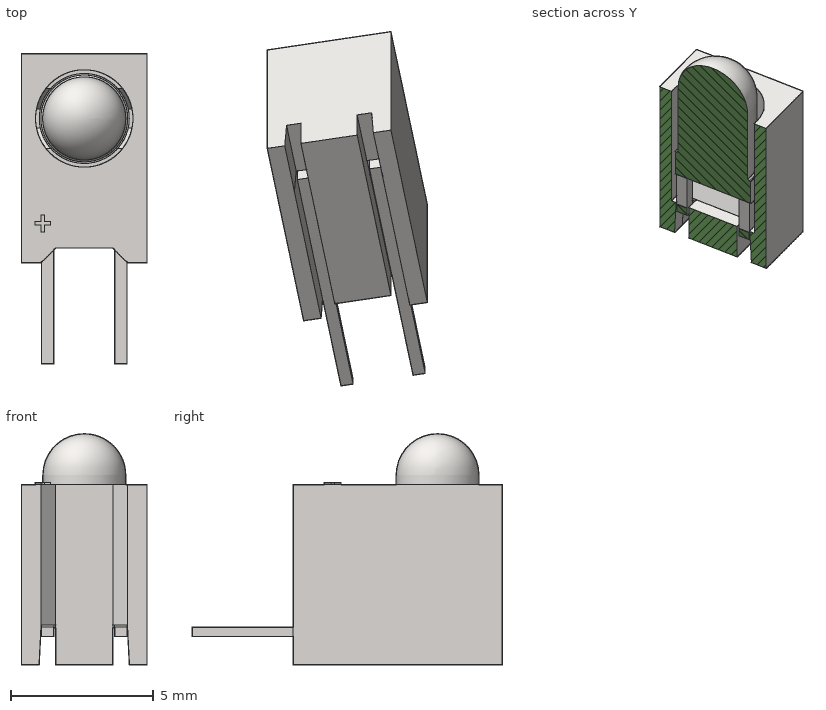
import cadquery as cq
import math


HOUSING_WIDTH = 4.42
HOUSING_LENGTH = 7.36
HOUSING_HEIGHT = 6.34
REAR_Y = 2.28
FRONT_Y = REAR_Y - HOUSING_LENGTH

RECESS_DEPTH = 0.51
CORE_HALF_WIDTH = 1.0
RECESS_HALF_WIDTH = CORE_HALF_WIDTH + RECESS_DEPTH

BORE_RADIUS = 1.71
TROUGH_TOP_HALF = 1.06
TROUGH_BOTTOM_HALF = 0.33
TROUGH_ANGLE = 60.0

SLOT_INNER_X = CORE_HALF_WIDTH
SLOT_OUTER_X = RECESS_HALF_WIDTH
SLOT_FLARE = 0.07
SLOT_ROOF_Z = 1.4
REAR_SLOT_DROP = 0.1

TROUGH_DEPTH = (TROUGH_TOP_HALF - TROUGH_BOTTOM_HALF) * math.tan(math.radians(TROUGH_ANGLE))
BORE_FLOOR_Z = SLOT_ROOF_Z + TROUGH_DEPTH

CROSS_X = -1.46
CROSS_Y = -3.69
CROSS_LENGTH_X = 0.54
CROSS_LENGTH_Y = 0.6
CROSS_BAR = 0.13
CROSS_HEIGHT = 0.07

TOTAL_HEIGHT = 8.14
DOME_RADIUS = 1.46
DOME_BASE_Z = TOTAL_HEIGHT - DOME_RADIUS
BODY_COLLAR = 0.07
FLANGE_RADIUS = 1.58
FLANGE_HEIGHT = 1.0

LEAD_CENTRE_X = 1.29
LEAD_WIDTH = 0.44
LEAD_THICKNESS = 0.34
LEAD_TOP_Z = 1.33
TOTAL_LENGTH = 10.92
LEAD_END_Y = REAR_Y - TOTAL_LENGTH

SIDES = (-1, 1)


def make_block():
    """Box with the flanked recess cut into its front outline."""
    half_width = HOUSING_WIDTH / 2
    recess_y = FRONT_Y + RECESS_DEPTH
    outline = [
        (-half_width, REAR_Y),
        (-half_width, FRONT_Y),
        (-RECESS_HALF_WIDTH, FRONT_Y),
        (-CORE_HALF_WIDTH, recess_y),
        (CORE_HALF_WIDTH, recess_y),
        (RECESS_HALF_WIDTH, FRONT_Y),
        (half_width, FRONT_Y),
        (half_width, REAR_Y),
    ]
    return cq.Workplane("XY").polyline(outline).close().extrude(HOUSING_HEIGHT)


def make_bore():
    depth = HOUSING_HEIGHT - BORE_FLOOR_Z
    return cq.Workplane("XY").workplane(offset=BORE_FLOOR_Z).circle(BORE_RADIUS).extrude(depth)


def make_trough():
    """Sloped trough across the bore, kept within the bore circle."""
    profile = [
        (-TROUGH_TOP_HALF, BORE_FLOOR_Z),
        (-TROUGH_BOTTOM_HALF, SLOT_ROOF_Z),
        (TROUGH_BOTTOM_HALF, SLOT_ROOF_Z),
        (TROUGH_TOP_HALF, BORE_FLOOR_Z),
    ]
    prism = cq.Workplane("YZ").polyline(profile).close().extrude(BORE_RADIUS, both=True)
    return prism.intersect(cq.Workplane("XY").circle(BORE_RADIUS).extrude(BORE_FLOOR_Z))


def make_slot(side, front_y, rear_y, roof_z):
    """One flared lead slot between two Y positions."""
    profile = [
        (side * SLOT_INNER_X, 0),
        (side * SLOT_INNER_X, roof_z),
        (side * SLOT_OUTER_X, roof_z),
        (side * (SLOT_OUTER_X + SLOT_FLARE), 0),
    ]
    slot = cq.Workplane("XZ").polyline(profile).close().extrude(rear_y - front_y)
    return slot.translate((0, rear_y, 0))


def make_cross():
    across = cq.Workplane("XY").rect(CROSS_LENGTH_X, CROSS_BAR).extrude(CROSS_HEIGHT)
    along = cq.Workplane("XY").rect(CROSS_BAR, CROSS_LENGTH_Y).extrude(CROSS_HEIGHT)
    return across.union(along).translate((CROSS_X, CROSS_Y, HOUSING_HEIGHT))


def make_housing():
    housing = make_block().cut(make_bore()).cut(make_trough())
    for side in SIDES:
        housing = housing.cut(make_slot(side, FRONT_Y, TROUGH_BOTTOM_HALF, SLOT_ROOF_Z))
        housing = housing.cut(make_slot(side, TROUGH_BOTTOM_HALF, REAR_Y, SLOT_ROOF_Z - REAR_SLOT_DROP))
    return housing.union(make_cross())


def make_lens():
    """Domed LED body with a flange resting on the bore floor."""
    flange_top = BORE_FLOOR_Z + FLANGE_HEIGHT
    dome_mid = DOME_RADIUS * math.sqrt(0.5)
    return (
        cq.Workplane("XZ")
        .moveTo(0, BORE_FLOOR_Z)
        .lineTo(FLANGE_RADIUS, BORE_FLOOR_Z)
        .lineTo(FLANGE_RADIUS, flange_top)
        .lineTo(DOME_RADIUS + BODY_COLLAR, flange_top)
        .lineTo(DOME_RADIUS, flange_top + BODY_COLLAR)
        .lineTo(DOME_RADIUS, DOME_BASE_Z)
        .threePointArc((dome_mid, DOME_BASE_Z + dome_mid), (0, TOTAL_HEIGHT))
        .close()
        .revolve(360, (0, 0), (0, 1))
    )


def make_lead(side):
    """Lead running down from the LED body and bent square to the front."""
    half_thickness = LEAD_THICKNESS / 2
    profile = [
        (-half_thickness, BORE_FLOOR_Z),
        (-half_thickness, LEAD_TOP_Z),
        (LEAD_END_Y, LEAD_TOP_Z),
        (LEAD_END_Y, LEAD_TOP_Z - LEAD_THICKNESS),
        (half_thickness, LEAD_TOP_Z - LEAD_THICKNESS),
        (half_thickness, BORE_FLOOR_Z),
    ]
    lead = cq.Workplane("YZ").polyline(profile).close().extrude(LEAD_WIDTH / 2, both=True)
    return lead.translate((side * LEAD_CENTRE_X, 0, 0))


def make_led():
    led = make_lens()
    for side in SIDES:
        led = led.union(make_lead(side))
    return led


housing = make_housing()
led = make_led()

result = cq.Compound.makeCompound([housing.val(), led.val()])